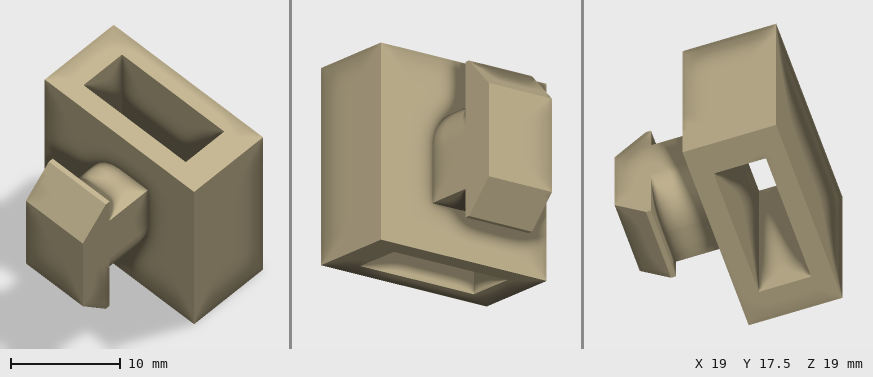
import cadquery as cq

block_side = 19.0
block_depth = 9.0
side_wall = 3.0
face_wall = 2.0

key_width = 7.24
neck_height = 9.5
neck_length = 5.0
neck_radius = 4.0
head_height = 15.0
head_thickness = 3.5
head_bevel = 3.0

head_back = -neck_length
head_front = head_back - head_thickness


def make_block():
    block = cq.Workplane("XY").box(
        block_side, block_depth, block_side, centered=(True, False, True)
    )
    window = cq.Workplane("XY").box(
        block_side - 2 * side_wall,
        block_depth - 2 * face_wall,
        block_side,
        centered=(True, False, True),
    )
    return block.cut(window.translate((0, face_wall, 0)))


def make_neck():
    """Rectangular neck with two diagonally opposite corners rounded for turning."""
    neck = cq.Workplane("XZ").rect(key_width, neck_height).extrude(neck_length)
    upper_left = neck.edges("|Y").edges("<X").edges(">Z").fillet(neck_radius)
    return upper_left.edges("|Y").edges(">X").edges("<Z").fillet(neck_radius)


def make_head():
    """Hammer head with 45 degree bevels along its upper and lower front edges."""
    half_height = head_height / 2
    lip_front = head_front + head_bevel
    nose_half_height = half_height - head_bevel
    return (
        cq.Workplane("YZ")
        .moveTo(head_back, -half_height)
        .lineTo(head_back, half_height)
        .lineTo(lip_front, half_height)
        .lineTo(head_front, nose_half_height)
        .lineTo(head_front, -nose_half_height)
        .lineTo(lip_front, -half_height)
        .close()
        .extrude(key_width / 2, both=True)
    )


result = make_block().union(make_neck()).union(make_head())